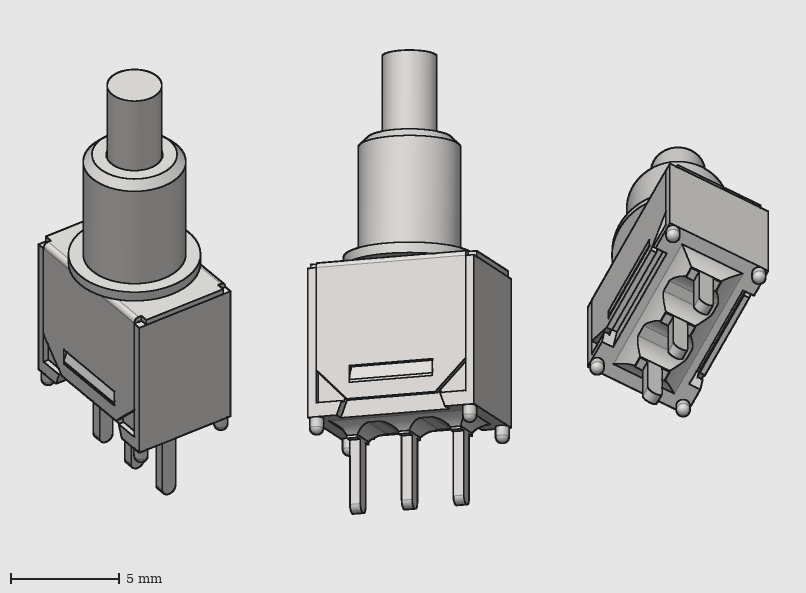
import cadquery as cq


TOTAL_HEIGHT = 21.47

WIDTH = 8.14
DEPTH = 5.13
BOTTOM_Z = 4.1
SHEET = 0.28
BEND_RADIUS = 0.25
FRAME_TOP_Z = 11.45
HOUSING_TOP_Z = FRAME_TOP_Z - SHEET
POST_WIDTH = 0.4
RAIL_HEIGHT = 0.67
RAIL_TOP_Z = BOTTOM_Z + RAIL_HEIGHT
WALL_WIDTH = WIDTH - 2 * POST_WIDTH

NOTCH_DEPTH = 0.58
NOTCH_HEIGHT = 1.0
NOTCH_BOTTOM_WIDTH = 5.3
NOTCH_TOP_WIDTH = 4.55

LATCH_WIDTH = 4.08
LATCH_BOTTOM_Z = 5.6
LATCH_HEIGHT = 0.8
LATCH_LIP = 0.13

PEG_DIAMETER = 0.65
PEG_RADIUS = PEG_DIAMETER / 2
PEG_LENGTH = 0.77

PITCH = 2.53
TERMINAL_WIDTH = 0.52
TERMINAL_DEPTH = 0.75
SHOULDER_DEPTH = 1.55
SHOULDER_BOTTOM_Z = 3.41
TERMINAL_XS = [-PITCH, 0, PITCH]

RESIN_HEIGHT = 0.55
RESIN_SKIN = 0.13
RESIN_WIDTH = 6.78
RESIN_DEPTH = 3.18
FLARE_REACH = 0.73
FLARE_SAG = 0.09

CHEEK_BOTTOM_Z = 4.83
CHEEK_BOTTOM_WIDTH = 4.38
FLANGE_DIAMETER = 6.1
FLANGE_THICKNESS = 0.5
BUSHING_DIAMETER = 4.75
BUSHING_TOP_Z = 17.56
BUSHING_CHAMFER = 0.4
BORE_DIAMETER = 2.6
PLUNGER_DIAMETER = 2.53


def box(width, depth, bottom, top):
    """Box centred on the Z axis between two heights."""
    return cq.Workplane("XY").workplane(offset=bottom).rect(width, depth).extrude(top - bottom)


def cylinder(diameter, bottom, top):
    """Cylinder on the Z axis between two heights."""
    return cq.Workplane("XY").workplane(offset=bottom).circle(diameter / 2).extrude(top - bottom)


def on_front_and_back(shape):
    """The shape on the -Y side together with its mirror image on the +Y side."""
    return shape.union(shape.mirror("XZ"))


def front_panel(points, thickness):
    """Panel with an XZ outline, its outer face flush with the front of the housing."""
    return cq.Workplane("XZ", origin=(0, -DEPTH / 2 + thickness, 0)).polyline(points).close().extrude(thickness)


def make_notch():
    top = BOTTOM_Z + NOTCH_HEIGHT
    return front_panel(
        [
            (-NOTCH_BOTTOM_WIDTH / 2, BOTTOM_Z),
            (NOTCH_BOTTOM_WIDTH / 2, BOTTOM_Z),
            (NOTCH_TOP_WIDTH / 2, top),
            (-NOTCH_TOP_WIDTH / 2, top),
        ],
        NOTCH_DEPTH,
    )


def make_latch():
    """Wedge with a short upright lip, sloping back to the housing wall at its top."""
    face = -DEPTH / 2
    return (
        cq.Workplane("YZ")
        .moveTo(face + SHEET, LATCH_BOTTOM_Z)
        .lineTo(face, LATCH_BOTTOM_Z)
        .lineTo(face, LATCH_BOTTOM_Z + LATCH_LIP)
        .lineTo(face + SHEET, LATCH_BOTTOM_Z + LATCH_HEIGHT)
        .close()
        .extrude(LATCH_WIDTH / 2, both=True)
    )


def make_block():
    """Housing block with recessed front and back walls between corner posts and bottom rails."""
    block = box(WIDTH, DEPTH, BOTTOM_Z, HOUSING_TOP_Z)
    recess = box(WALL_WIDTH, SHEET, RAIL_TOP_Z, HOUSING_TOP_Z).translate((0, -(DEPTH - SHEET) / 2, 0))
    block = block.cut(on_front_and_back(recess))
    block = block.cut(on_front_and_back(make_notch()))
    return block.union(on_front_and_back(make_latch()))


def make_peg(x, y):
    """Round peg with a hemispherical end, inset so that it is tangent to the housing sides."""
    tip_centre_z = BOTTOM_Z - PEG_LENGTH + PEG_RADIUS
    shank = cylinder(PEG_DIAMETER, tip_centre_z, BOTTOM_Z)
    tip = cq.Workplane("XY").sphere(PEG_RADIUS).translate((0, 0, tip_centre_z))
    return shank.union(tip).translate((x, y, 0))


def make_terminal(x):
    """Flat terminal with a rounded tip and a deeper shoulder under the housing."""
    tip_radius = TERMINAL_DEPTH / 2
    blade = (
        cq.Workplane("YZ")
        .moveTo(-tip_radius, BOTTOM_Z)
        .lineTo(-tip_radius, tip_radius)
        .threePointArc((0, 0), (tip_radius, tip_radius))
        .lineTo(tip_radius, BOTTOM_Z)
        .close()
        .extrude(TERMINAL_WIDTH / 2, both=True)
    )
    shoulder = box(TERMINAL_WIDTH, SHOULDER_DEPTH, SHOULDER_BOTTOM_Z, BOTTOM_Z)
    return blade.union(shoulder).translate((x, 0, 0))


def make_resin():
    """Resin skin under the housing, where concave flares in both directions meet at mitred corners."""
    skin_z = BOTTOM_Z - RESIN_SKIN
    tip_z = BOTTOM_Z - RESIN_HEIGHT
    half_terminal = TERMINAL_WIDTH / 2
    half_shoulder = SHOULDER_DEPTH / 2

    along_x = cq.Workplane("XZ").moveTo(-RESIN_WIDTH / 2, BOTTOM_Z)
    for x in TERMINAL_XS:
        if x > TERMINAL_XS[0]:
            along_x = along_x.lineTo(x - half_terminal - FLARE_REACH, skin_z)
        along_x = along_x.sagittaArc((x - half_terminal, tip_z), FLARE_SAG).lineTo(x + half_terminal, tip_z)
        if x < TERMINAL_XS[-1]:
            along_x = along_x.sagittaArc((x + half_terminal + FLARE_REACH, skin_z), FLARE_SAG)
    along_x = along_x.sagittaArc((RESIN_WIDTH / 2, BOTTOM_Z), FLARE_SAG).close()

    along_y = (
        cq.Workplane("YZ")
        .moveTo(-RESIN_DEPTH / 2, BOTTOM_Z)
        .sagittaArc((-half_shoulder, tip_z), FLARE_SAG)
        .lineTo(half_shoulder, tip_z)
        .sagittaArc((RESIN_DEPTH / 2, BOTTOM_Z), FLARE_SAG)
        .close()
    )
    return along_x.extrude(RESIN_DEPTH / 2, both=True).intersect(along_y.extrude(RESIN_WIDTH / 2, both=True))


def make_housing():
    """Housing block with its pegs, resin, terminals and the plunger that rises from its top."""
    housing = make_block().union(make_resin())
    for x_side in (-1, 1):
        for y_side in (-1, 1):
            peg_x = x_side * (WIDTH / 2 - PEG_RADIUS)
            peg_y = y_side * (DEPTH / 2 - PEG_RADIUS)
            housing = housing.union(make_peg(peg_x, peg_y))
    for x in TERMINAL_XS:
        housing = housing.union(make_terminal(x))
    return housing.union(cylinder(PLUNGER_DIAMETER, HOUSING_TOP_Z, TOTAL_HEIGHT))


def make_cheek():
    """Front cheek of the frame with 45 degree lower corners and a window for the latch."""
    bevel = (WALL_WIDTH - CHEEK_BOTTOM_WIDTH) / 2
    cheek = front_panel(
        [
            (-CHEEK_BOTTOM_WIDTH / 2, CHEEK_BOTTOM_Z),
            (CHEEK_BOTTOM_WIDTH / 2, CHEEK_BOTTOM_Z),
            (WALL_WIDTH / 2, CHEEK_BOTTOM_Z + bevel),
            (WALL_WIDTH / 2, HOUSING_TOP_Z),
            (-WALL_WIDTH / 2, HOUSING_TOP_Z),
            (-WALL_WIDTH / 2, CHEEK_BOTTOM_Z + bevel),
        ],
        SHEET,
    )
    window = box(LATCH_WIDTH, DEPTH, LATCH_BOTTOM_Z, LATCH_BOTTOM_Z + LATCH_HEIGHT)
    return cheek.cut(window)


def make_top_sheet():
    """Top of the frame: a cross with relief notches at the corners and rounded bends over the cheeks."""
    bent_part = box(WALL_WIDTH, DEPTH, HOUSING_TOP_Z, FRAME_TOP_Z)
    bent_part = bent_part.faces(">Z").edges("|X").fillet(BEND_RADIUS)
    side_tabs = box(WIDTH, DEPTH - 2 * POST_WIDTH, HOUSING_TOP_Z, FRAME_TOP_Z)
    return bent_part.union(side_tabs)


def make_frame():
    """Folded sheet-metal frame with a flanged bushing, bored through for the plunger."""
    bushing = cylinder(BUSHING_DIAMETER, HOUSING_TOP_Z, BUSHING_TOP_Z)
    bushing = bushing.faces(">Z").edges().chamfer(BUSHING_CHAMFER)
    flange = cylinder(FLANGE_DIAMETER, FRAME_TOP_Z, FRAME_TOP_Z + FLANGE_THICKNESS)
    frame = make_top_sheet().union(on_front_and_back(make_cheek())).union(flange).union(bushing)
    return frame.cut(cylinder(BORE_DIAMETER, HOUSING_TOP_Z, BUSHING_TOP_Z))


housing = make_housing()
frame = make_frame()

result = cq.Compound.makeCompound([housing.val(), frame.val()])